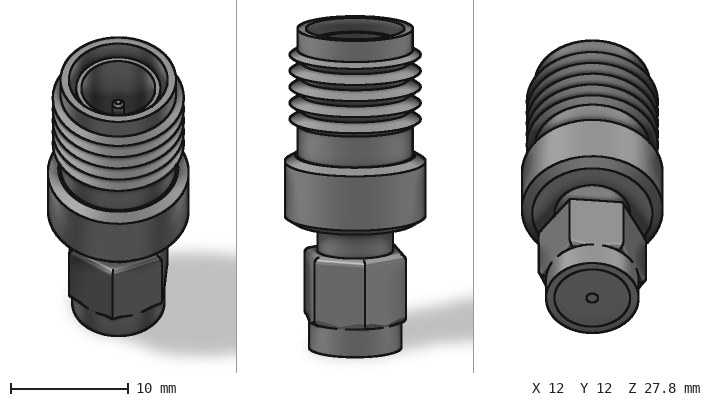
import cadquery as cq
import math

TOTAL_HEIGHT = 27.75
NUT_RIM_HEIGHT = 2.41
NUT_TOP = 8.44
COLLAR_BOTTOM = 10.93
COLLAR_TOP = 16.75

NUT_SIDES = 6
NUT_ACROSS_FLATS = 7.95
NUT_RIM_DIAMETER = 7.88
NUT_FILLET = 0.55

NECK_RADIUS = 3.22
COLLAR_RADIUS = 6.0
COLLAR_END_RADIUS = 5.1
COLLAR_CHAMFER_HEIGHT = 0.55
BARREL_RADIUS = 4.9

RIDGE_COUNT = 5
CREST_SPAN = 5.6
RIDGE_PITCH = CREST_SPAN / (RIDGE_COUNT - 1)
RIDGE_CREST_RADIUS = 5.58
RIDGE_ROOT_RADIUS = 4.52
TOP_CREST_Z = 25.47

BORE_RADIUS = 4.2
SLEEVE_OUTER_RADIUS = 3.58
SLEEVE_INNER_RADIUS = 3.14
SLEEVE_RECESS = 1.05
SOCKET_FLOOR = COLLAR_TOP

PIN_RADIUS = 0.5
PIN_TIP_RADIUS = 0.25
PIN_TIP_HEIGHT = 0.28
PIN_TOP = 24.98


def cylinder(radius, bottom, top):
    return cq.Workplane("XY").workplane(offset=bottom).circle(radius).extrude(top - bottom)


def revolve_outline(points):
    """Revolve a closed (radius, z) outline about the Z axis."""
    return cq.Workplane("XZ").polyline(points).close().revolve(360, (0, 0, 0), (0, 1, 0))


def make_collar():
    lower_edge = COLLAR_BOTTOM + COLLAR_CHAMFER_HEIGHT
    upper_edge = COLLAR_TOP - COLLAR_CHAMFER_HEIGHT
    return revolve_outline([
        (0, COLLAR_BOTTOM),
        (COLLAR_END_RADIUS, COLLAR_BOTTOM),
        (COLLAR_RADIUS, lower_edge),
        (COLLAR_RADIUS, upper_edge),
        (COLLAR_END_RADIUS, COLLAR_TOP),
        (0, COLLAR_TOP),
    ])


def make_barrel():
    """Round barrel whose V ridges start and end where their flanks meet its surface."""
    flank_slope = (RIDGE_CREST_RADIUS - RIDGE_ROOT_RADIUS) / (RIDGE_PITCH / 2)
    end_flank_height = (RIDGE_CREST_RADIUS - BARREL_RADIUS) / flank_slope
    bottom_crest_z = TOP_CREST_Z - CREST_SPAN

    outline = [
        (0, COLLAR_TOP),
        (BARREL_RADIUS, COLLAR_TOP),
        (BARREL_RADIUS, bottom_crest_z - end_flank_height),
    ]
    for ridge in range(RIDGE_COUNT):
        crest_z = bottom_crest_z + ridge * RIDGE_PITCH
        outline.append((RIDGE_CREST_RADIUS, crest_z))
        if ridge < RIDGE_COUNT - 1:
            outline.append((RIDGE_ROOT_RADIUS, crest_z + RIDGE_PITCH / 2))
    outline += [
        (BARREL_RADIUS, TOP_CREST_Z + end_flank_height),
        (BARREL_RADIUS, TOTAL_HEIGHT),
        (0, TOTAL_HEIGHT),
    ]
    return revolve_outline(outline)


def make_sleeve():
    sleeve_top = TOTAL_HEIGHT - SLEEVE_RECESS
    outer = cylinder(SLEEVE_OUTER_RADIUS, SOCKET_FLOOR, sleeve_top)
    return outer.cut(cylinder(SLEEVE_INNER_RADIUS, SOCKET_FLOOR, sleeve_top))


def make_housing():
    neck = cylinder(NECK_RADIUS, 0, COLLAR_BOTTOM)
    bore = cylinder(BORE_RADIUS, SOCKET_FLOOR, TOTAL_HEIGHT)
    pin_hole = cylinder(PIN_RADIUS, 0, SOCKET_FLOOR)
    outside = neck.union(make_collar()).union(make_barrel())
    return outside.cut(bore).union(make_sleeve()).cut(pin_hole)


def make_nut():
    """Hex nut, filleted at both ends of its flats, on a round rim just inside the flats."""
    half_side_angle = 180 / NUT_SIDES
    corner_diameter = NUT_ACROSS_FLATS / math.cos(math.radians(half_side_angle))

    hexagon = (
        cq.Workplane("XY")
        .workplane(offset=NUT_RIM_HEIGHT)
        .transformed(rotate=(0, 0, half_side_angle))
        .polygon(NUT_SIDES, corner_diameter)
        .extrude(NUT_TOP - NUT_RIM_HEIGHT)
    )
    rim = cylinder(NUT_RIM_DIAMETER / 2, 0, NUT_RIM_HEIGHT)
    blank = hexagon.union(rim)
    neck_hole = cylinder(NECK_RADIUS, 0, NUT_TOP)
    return blank.edges("%LINE and #Z").fillet(NUT_FILLET).cut(neck_hole)


def make_pin():
    """Contact pin with a flat-ended conical tip."""
    return revolve_outline([
        (0, 0),
        (PIN_RADIUS, 0),
        (PIN_RADIUS, PIN_TOP - PIN_TIP_HEIGHT),
        (PIN_TIP_RADIUS, PIN_TOP),
        (0, PIN_TOP),
    ])


housing = make_housing()
nut = make_nut()
pin = make_pin()

result = cq.Compound.makeCompound([housing.solids().val(), nut.solids().val(), pin.val()])